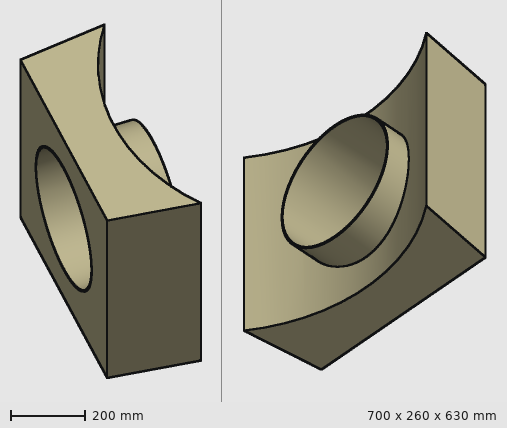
import cadquery as cq

block_height = 630.0
front_width = 630.0
back_width = 700.0
block_depth = 258.0
middle_depth = 145.0

pipe_outer_diameter = 408.0
pipe_wall = 4.0
pipe_length = 260.0


def cylinder_along_y(diameter, length):
    """Cylinder centred on the Y axis, running from the front face toward +Y."""
    return cq.Workplane("XZ").circle(diameter / 2).extrude(-length)


def make_block():
    """Saddle block with a through bore that fits the pipe."""
    body = (
        cq.Workplane("XY")
        .moveTo(-front_width / 2, 0)
        .lineTo(front_width / 2, 0)
        .lineTo(back_width / 2, block_depth)
        .threePointArc((0, middle_depth), (-back_width / 2, block_depth))
        .close()
        .extrude(block_height / 2, both=True)
    )
    return body.cut(cylinder_along_y(pipe_outer_diameter, block_depth))


def make_pipe():
    """Thin-walled straight pipe, open at both ends."""
    inner_diameter = pipe_outer_diameter - 2 * pipe_wall
    outside = cylinder_along_y(pipe_outer_diameter, pipe_length)
    return outside.cut(cylinder_along_y(inner_diameter, pipe_length))


block = make_block()
pipe = make_pipe()

result = cq.Compound.makeCompound([block.val(), pipe.val()])